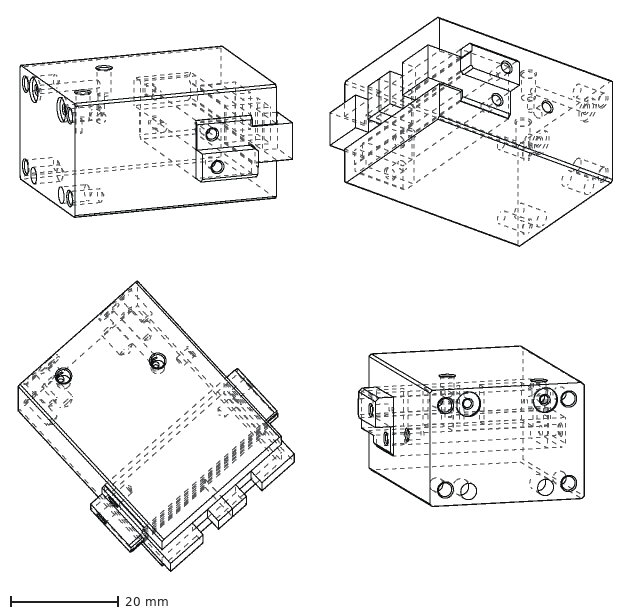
import cadquery as cq
import math


width = 30.0
height = 22.0
housing_length = 40.0
edge_chamfer = 0.47

finger_tip_y = 43.0
jaw_long_end = 18.5
jaw_short_end = 15.55
slider_height = 5.6
slider_bottom_y = 24.0
slider_top_y = 35.0
slider_edge_chamfer = 0.7
tongue_top_y = 35.17
finger_bottom_y = 35.48
finger_half_height = 3.53
finger_gap_inner = 3.53
finger_gap_outer = 7.4
corner_relief = 0.5

drill_tip_angle = 118.0
hole_chamfer = 0.25
jaw_hole_diameter = 2.0
jaw_hole_depth = 3.85
jaw_hole_y = 27.0
mount_hole_diameter = 2.6
mount_hole_depth = 6.0
mount_hole_x = 12.0
mount_hole_z = 8.0
dowel_hole_diameter = 3.1
dowel_hole_depth = 5.15
dowel_hole_z = -8.5
port_x = 7.5
port_recess_diameter = 4.65
port_recess_depth = 0.6
port_hole_diameter = 1.55
side_hole_diameter = 1.98
side_hole_depth = 3.0
side_hole_y = 15.05
top_port_diameter = 2.6
top_port_depth = 5.15
feed_diameter = 1.2
feed_depth = 2.6
top_ports = [(-port_x, 13.98, 13.4), (port_x, 4.3, 3.53)]


def bore(start, direction, diameter, depth):
    """Flat-bottomed cylinder used as a cutter."""
    return cq.Workplane(cq.Solid.makeCylinder(
        diameter / 2, depth, cq.Vector(*start), cq.Vector(*direction)))


def chamfered_bore(start, direction, diameter, depth):
    """Flat-bottomed cutter with a countersunk mouth."""
    mouth = cq.Workplane(cq.Solid.makeCone(
        diameter / 2 + hole_chamfer, diameter / 2, hole_chamfer,
        cq.Vector(*start), cq.Vector(*direction)))
    return bore(start, direction, diameter, depth).union(mouth)


def drill_tip(start, direction, diameter, depth):
    """Cone at the bottom of a drilled hole that is `depth` deep."""
    axis = cq.Vector(*direction)
    tip_length = diameter / 2 / math.tan(math.radians(drill_tip_angle / 2))
    return cq.Workplane(cq.Solid.makeCone(
        diameter / 2, 0, tip_length, cq.Vector(*start) + axis * depth, axis))


def chamfered_drill(start, direction, diameter, depth):
    """Drilled blind hole cutter with a countersunk mouth."""
    return chamfered_bore(start, direction, diameter, depth).union(
        drill_tip(start, direction, diameter, depth))


def plain_drill(start, direction, diameter, depth):
    """Drilled blind hole cutter with a sharp mouth."""
    return bore(start, direction, diameter, depth).union(
        drill_tip(start, direction, diameter, depth))


def block(x_range, y_range, z_range):
    """Box given by its limits along each axis."""
    (x0, x1), (y0, y1), (z0, z1) = x_range, y_range, z_range
    return cq.Workplane("XY").box(x1 - x0, y1 - y0, z1 - z0, centered=False).translate((x0, y0, z0))


def make_housing():
    half_width = width / 2
    across = (-half_width, half_width)
    body = block(across, (0, housing_length), (-height / 2, height / 2))
    body = body.edges("|Y").chamfer(edge_chamfer)

    body = body.cut(block(across, (slider_bottom_y, slider_top_y), (-slider_height, slider_height)))
    body = body.cut(block(across, (slider_top_y, housing_length), (-finger_half_height, finger_half_height)))

    inward = (0, 1, 0)
    for side in (-1, 1):
        for level in (-1, 1):
            corner = (side * mount_hole_x, 0, level * mount_hole_z)
            body = body.cut(chamfered_drill(corner, inward, mount_hole_diameter, mount_hole_depth))
        dowel = (side * port_x, 0, dowel_hole_z)
        body = body.cut(plain_drill(dowel, inward, dowel_hole_diameter, dowel_hole_depth))

    down = (0, 0, -1)
    for x, y, feed_y in top_ports:
        body = body.cut(bore((x, 0, mount_hole_z), inward, port_recess_diameter, port_recess_depth))
        recess_floor = (x, port_recess_depth, mount_hole_z)
        body = body.cut(chamfered_bore(recess_floor, inward, port_hole_diameter, y - port_recess_depth))
        body = body.cut(chamfered_bore((x, y, height / 2), down, top_port_diameter, top_port_depth))
        feed_start = (x, feed_y, height / 2 - top_port_depth)
        body = body.cut(bore(feed_start, down, feed_diameter, feed_depth))

    side_start = (-half_width, side_hole_y, 0)
    return body.cut(chamfered_bore(side_start, (1, 0, 0), side_hole_diameter, side_hole_depth))


def make_jaw():
    """Lower jaw: slider below Z = 0, with its fingers on the -X half."""
    slider = block((-jaw_short_end, jaw_long_end), (slider_bottom_y, slider_top_y), (-slider_height, 0))
    slider = slider.faces("<X or >X").edges("<Z").chamfer(slider_edge_chamfer)

    tongue = block((-jaw_short_end, jaw_long_end), (slider_top_y, tongue_top_y), (-finger_half_height, 0))
    relief = (
        cq.Workplane("YZ")
        .moveTo(tongue_top_y, 0)
        .lineTo(tongue_top_y - corner_relief, 0)
        .lineTo(tongue_top_y, -corner_relief)
        .close()
        .extrude(jaw_long_end)
    )
    jaw = slider.union(tongue).cut(relief)

    web = block((-jaw_short_end, 0), (tongue_top_y, finger_bottom_y), (-finger_half_height, 0))
    fingers = block(
        (-jaw_short_end, 0), (finger_bottom_y, finger_tip_y), (-finger_half_height, finger_half_height))
    gap = block(
        (-finger_gap_outer, -finger_gap_inner),
        (housing_length, finger_tip_y),
        (-finger_half_height, finger_half_height))
    corner_fill = (
        cq.Workplane("YZ", origin=(-jaw_short_end, 0, 0))
        .moveTo(finger_bottom_y, 0)
        .lineTo(finger_bottom_y - corner_relief, 0)
        .lineTo(finger_bottom_y, corner_relief)
        .close()
        .extrude(jaw_short_end)
    )
    jaw = jaw.union(web).union(fingers).union(corner_fill).cut(gap)

    hole_z = -slider_height / 2
    for end_x, direction in ((-jaw_short_end, (1, 0, 0)), (jaw_long_end, (-1, 0, 0))):
        jaw = jaw.cut(chamfered_drill(
            (end_x, jaw_hole_y, hole_z), direction, jaw_hole_diameter, jaw_hole_depth))
    return jaw


housing = make_housing()

jaws = []
for turn in (0, 180):
    jaws.append(make_jaw().rotate((0, 0, 0), (0, 1, 0), turn).val())

result = cq.Compound.makeCompound([housing.val(), *jaws])